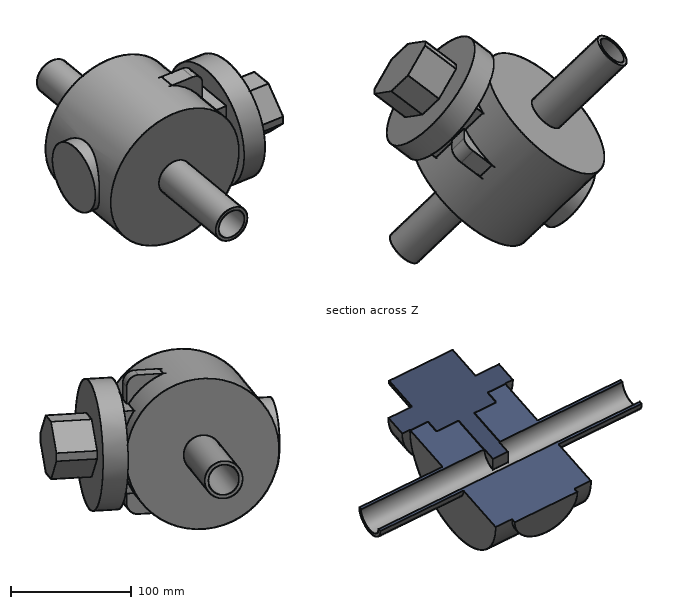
import cadquery as cq

pipe_length = 260.0
pipe_radius = 16.0
bore_radius = 13.0
drum_width = 95.0
drum_radius = 65.0
boss_radius = 31.2
boss_end = 69.2

gate_thickness = 15.0
gate_height = 120.0
gate_bottom = 0.0
gate_top = 56.0
gate_corner_radius = 10.0
neck_width = 58.8
neck_height = 71.2
neck_bottom = 52.0
flange_radius = 55.0
flange_thickness = 21.3
head_width = 63.5
head_height = 49.7
head_chamfer = 21.3
head_length = 34.5

flange_bottom = drum_radius
flange_top = flange_bottom + flange_thickness


def x_cylinder(radius, length):
    """Cylinder on the X axis, centred on the origin."""
    return cq.Workplane("YZ").circle(radius).extrude(length / 2, both=True)


def y_block(width, height, start, end):
    """Rectangular block centred on the Y axis, from y = start to y = end."""
    return (
        cq.Workplane("XZ", origin=(0, start, 0))
        .rect(width, height)
        .extrude(start - end)
    )


def make_gate_plate():
    plate = y_block(gate_thickness, gate_height, gate_bottom, gate_top)
    return plate.faces(">Y").edges("|X").fillet(gate_corner_radius)


def make_neck():
    return y_block(neck_width, neck_height, neck_bottom, flange_bottom)


def make_flange():
    return (
        cq.Workplane("XZ", origin=(0, flange_bottom, 0))
        .circle(flange_radius)
        .extrude(-flange_thickness)
    )


def make_head():
    block = y_block(head_width, head_height, flange_top, flange_top + head_length)
    return block.edges("|Y").chamfer(head_chamfer)


def make_gate_assembly():
    return make_gate_plate().union(make_neck()).union(make_flange()).union(make_head())


def make_housing():
    boss = cq.Workplane("XZ").circle(boss_radius).extrude(boss_end)
    body = x_cylinder(drum_radius, drum_width).union(boss)
    body = body.union(x_cylinder(pipe_radius, pipe_length))
    body = body.cut(x_cylinder(bore_radius, pipe_length))
    return body.cut(make_gate_plate()).cut(make_neck())


housing = make_housing()
gate_assembly = make_gate_assembly()

result = cq.Compound.makeCompound([housing.val(), gate_assembly.val()])